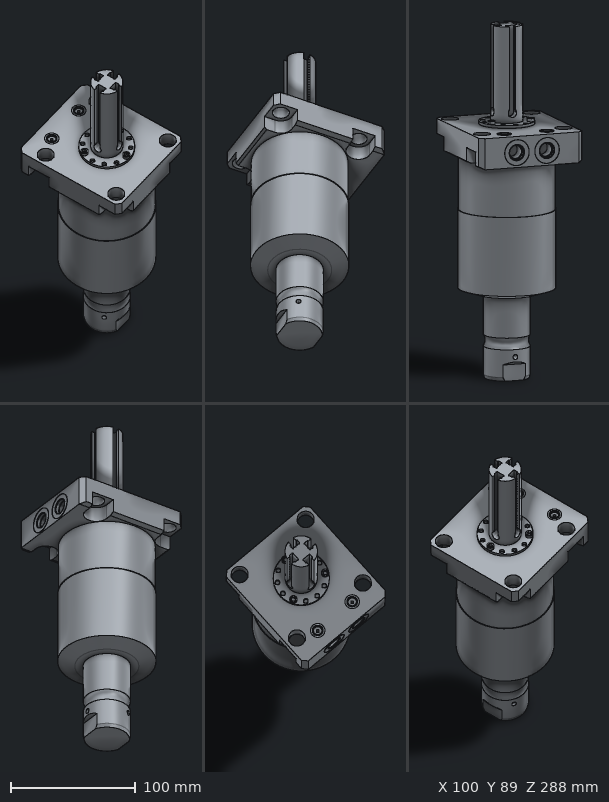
import cadquery as cq
import math

TOTAL_HEIGHT = 288.0
FLANGE_TOP = 209.3
PLATE_TOP = 207.0
PLATE_BOTTOM = 181.7
BODY_STEP = 137.5
BODY_BOTTOM = 73.5
CONE_BOTTOM = 69.0
GROOVE_TOP = 35.5
GROOVE_BOTTOM = 26.0

SHAFT_RADIUS = 13.0
FLANGE_RADIUS = 22.5
UPPER_BODY_RADIUS = 39.0
LOWER_BODY_RADIUS = 39.5
CONE_BOTTOM_RADIUS = 25.5
NOSE_RADIUS = 19.0
GROOVE_DEPTH = 1.5
TIP_CHAMFER_HEIGHT = 3.2
TIP_CHAMFER_WIDTH = 1.0

PLATE_LENGTH = 100.0
PLATE_WIDTH = 89.0
PLATE_RIGHT = PLATE_WIDTH / 2
PLATE_LEFT = PLATE_RIGHT - PLATE_LENGTH
PLATE_CORNER_CHAMFER = 4.0
PLATE_THICKNESS = PLATE_TOP - PLATE_BOTTOM
BEVEL_HEIGHT = 1.7
SIDE_BEVEL_WIDTH = 4.0
END_BEVEL_WIDTH = 2.0
BOLT_SPACING = 70.0
BOLT_OFFSET = BOLT_SPACING / 2
BOLT_HOLE_DIAMETER = 13.5
POCKET_RADIUS = 10.0
POCKET_HEIGHT = 13.0

SIDE_PORT_OFFSET = 13.0
SIDE_SPOTFACE_DIAMETER = 21.0
SIDE_SPOTFACE_DEPTH = 0.3
SIDE_PORT_HEIGHT = 193.7
SIDE_MOUTH_DIAMETER = 13.2
SIDE_BORE_DIAMETER = 12.0
SIDE_BORE_DEPTH = 3.5
SIDE_INNER_DIAMETER = 10.5
SIDE_INNER_DEPTH = 13.0

TOP_PORT_X = -41.2
TOP_PORT_SPACING = 36.5
TOP_PORT_DIAMETER = 11.5
TOP_GROOVE_DEPTH = 0.43
TOP_LIP_DIAMETER = 8.5
TOP_SEAT_DIAMETER = 7.0
TOP_SEAT_DEPTH = 1.5
TOP_BORE_DIAMETER = 2.3
TOP_BORE_DEPTH = 8.5

KEYWAY_COUNT = 4
KEYWAY_MOUTH_WIDTH = 5.5
KEYWAY_INNER_WIDTH = 7.2
KEYWAY_FLOOR = 6.0
KEYWAY_STEP = 9.5
KEYWAY_END = 217.5

FLANGE_POSITIONS = 12
SCREW_SPACING = 4
FLANGE_CIRCLE_DIAMETER = 39.0
FLANGE_CIRCLE_RADIUS = FLANGE_CIRCLE_DIAMETER / 2
FLANGE_HOLE_DIAMETER = 3.7
SCREW_HEAD_DIAMETER = 5.8
SCREW_HEAD_HEIGHT = 2.5
SCREW_SOCKET_SIDES = 6
SCREW_SOCKET_DIAMETER = 3.7
SCREW_SOCKET_DEPTH = 2.3

FLAT_OFFSET = 16.5
FLAT_TOP = 13.5
FLAT_SHOULDER_TOP = 15.8
NOSE_HOLE_COUNT = 3
NOSE_HOLE_HEIGHT = 20.0
NOSE_HOLE_DIAMETER = 4.0
NOSE_HOLE_DEPTH = 3.0


def make_turned_body():
    """Shaft, flange, body and grooved nose as one revolved profile."""
    groove_middle = (NOSE_RADIUS - GROOVE_DEPTH, (GROOVE_TOP + GROOVE_BOTTOM) / 2)
    return (
        cq.Workplane("XZ")
        .moveTo(0, 0)
        .lineTo(NOSE_RADIUS - TIP_CHAMFER_WIDTH, 0)
        .lineTo(NOSE_RADIUS, TIP_CHAMFER_HEIGHT)
        .lineTo(NOSE_RADIUS, GROOVE_BOTTOM)
        .threePointArc(groove_middle, (NOSE_RADIUS, GROOVE_TOP))
        .lineTo(NOSE_RADIUS, CONE_BOTTOM)
        .lineTo(CONE_BOTTOM_RADIUS, CONE_BOTTOM)
        .lineTo(LOWER_BODY_RADIUS, BODY_BOTTOM)
        .lineTo(LOWER_BODY_RADIUS, BODY_STEP)
        .lineTo(UPPER_BODY_RADIUS, BODY_STEP)
        .lineTo(UPPER_BODY_RADIUS, PLATE_TOP)
        .lineTo(FLANGE_RADIUS, PLATE_TOP)
        .lineTo(FLANGE_RADIUS, FLANGE_TOP)
        .lineTo(SHAFT_RADIUS, FLANGE_TOP)
        .lineTo(SHAFT_RADIUS, TOTAL_HEIGHT)
        .lineTo(0, TOTAL_HEIGHT)
        .close()
        .revolve(360, (0, 0), (0, 1))
    )


def make_bevel(reach, width, angle):
    """Cutter for the bevel under the plate edge that lies at this reach from the axis."""
    return (
        cq.Workplane("XZ")
        .moveTo(reach - width, PLATE_BOTTOM)
        .lineTo(reach, PLATE_BOTTOM)
        .lineTo(reach, PLATE_BOTTOM + BEVEL_HEIGHT)
        .close()
        .extrude(PLATE_LENGTH, both=True)
        .rotate((0, 0, 0), (0, 0, 1), angle)
    )


def make_corner_pocket(x_side, y_side):
    """Bolt-head pocket under the plate, open to the Y side and, at +X, to the X side too."""
    x = x_side * BOLT_OFFSET
    y = y_side * BOLT_OFFSET
    base = cq.Workplane("XY").workplane(offset=PLATE_BOTTOM)
    pocket = base.center(x, y).circle(POCKET_RADIUS).extrude(POCKET_HEIGHT)
    width = 2 * POCKET_RADIUS
    outer_x = x + x_side * POCKET_RADIUS
    outer_y = y + y_side * POCKET_RADIUS
    pocket = pocket.union(base.center(x, outer_y).rect(width, width).extrude(POCKET_HEIGHT))
    if x_side > 0:
        pocket = pocket.union(base.center(outer_x, y).rect(width, width).extrude(POCKET_HEIGHT))
        pocket = pocket.union(base.center(outer_x, outer_y).rect(width, width).extrude(POCKET_HEIGHT))
    return pocket


def make_plate():
    """Mounting plate with cut corners, bevelled lower edges, bolt holes and pockets."""
    plate = (
        cq.Workplane("XY")
        .workplane(offset=PLATE_BOTTOM)
        .center((PLATE_LEFT + PLATE_RIGHT) / 2, 0)
        .rect(PLATE_LENGTH, PLATE_WIDTH)
        .extrude(PLATE_THICKNESS)
        .edges("|Z")
        .chamfer(PLATE_CORNER_CHAMFER)
    )
    bolt_holes = [(x * BOLT_OFFSET, y * BOLT_OFFSET) for x in (-1, 1) for y in (-1, 1)]
    plate = plate.cut(
        cq.Workplane("XY")
        .workplane(offset=PLATE_BOTTOM)
        .pushPoints(bolt_holes)
        .circle(BOLT_HOLE_DIAMETER / 2)
        .extrude(PLATE_THICKNESS)
    )
    for x_side in (-1, 1):
        for y_side in (-1, 1):
            plate = plate.cut(make_corner_pocket(x_side, y_side))
    plate = plate.cut(make_bevel(PLATE_RIGHT, END_BEVEL_WIDTH, 0))
    for angle in (-90, 90):
        plate = plate.cut(make_bevel(PLATE_WIDTH / 2, SIDE_BEVEL_WIDTH, angle))
    return plate


def make_side_port(y):
    """Cutter for a port drilled inward from the -X face."""
    spot_floor = SIDE_SPOTFACE_DEPTH
    bore_start = spot_floor + (SIDE_MOUTH_DIAMETER - SIDE_BORE_DIAMETER) / 2
    return (
        cq.Workplane("XY")
        .moveTo(0, 0)
        .lineTo(0, SIDE_SPOTFACE_DIAMETER / 2)
        .lineTo(spot_floor, SIDE_SPOTFACE_DIAMETER / 2)
        .lineTo(spot_floor, SIDE_MOUTH_DIAMETER / 2)
        .lineTo(bore_start, SIDE_BORE_DIAMETER / 2)
        .lineTo(SIDE_BORE_DEPTH, SIDE_BORE_DIAMETER / 2)
        .lineTo(SIDE_BORE_DEPTH, SIDE_INNER_DIAMETER / 2)
        .lineTo(SIDE_INNER_DEPTH, SIDE_INNER_DIAMETER / 2)
        .lineTo(SIDE_INNER_DEPTH, 0)
        .close()
        .revolve(360, (0, 0), (1, 0))
        .translate((PLATE_LEFT, y, SIDE_PORT_HEIGHT))
    )


def make_top_port(y):
    """Cutter for a stepped top port with a shallow round groove about its lip."""
    groove_middle = ((TOP_PORT_DIAMETER + TOP_LIP_DIAMETER) / 4, -TOP_GROOVE_DEPTH)
    return (
        cq.Workplane("XZ")
        .moveTo(0, 0)
        .lineTo(TOP_PORT_DIAMETER / 2, 0)
        .threePointArc(groove_middle, (TOP_LIP_DIAMETER / 2, 0))
        .lineTo(TOP_SEAT_DIAMETER / 2, 0)
        .lineTo(TOP_SEAT_DIAMETER / 2, -TOP_SEAT_DEPTH)
        .lineTo(TOP_BORE_DIAMETER / 2, -TOP_SEAT_DEPTH)
        .lineTo(TOP_BORE_DIAMETER / 2, -TOP_BORE_DEPTH)
        .lineTo(0, -TOP_BORE_DEPTH)
        .close()
        .revolve(360, (0, 0), (0, 1))
        .translate((TOP_PORT_X, y, PLATE_TOP))
    )


def make_keyway(angle):
    """Cutter for one keyway: narrow mouth, wider inner channel and a round lower end."""
    length = TOTAL_HEIGHT - KEYWAY_END
    channel_depth = KEYWAY_STEP - KEYWAY_FLOOR
    full_depth = SHAFT_RADIUS - KEYWAY_FLOOR
    inner_face_centered = (False, True, False)
    channel = cq.Workplane("XY").box(channel_depth, KEYWAY_INNER_WIDTH, length, centered=inner_face_centered)
    mouth = cq.Workplane("XY").box(full_depth, KEYWAY_MOUTH_WIDTH, length, centered=inner_face_centered)
    round_end = cq.Workplane("YZ").circle(KEYWAY_INNER_WIDTH / 2).extrude(full_depth)
    keyway = channel.union(mouth).union(round_end).translate((KEYWAY_FLOOR, 0, KEYWAY_END))
    return keyway.rotate((0, 0, 0), (0, 0, 1), angle)


def add_flange_details(body):
    """Screw heads and open holes around the flange."""
    for index in range(FLANGE_POSITIONS):
        angle = 2 * math.pi * index / FLANGE_POSITIONS
        x = FLANGE_CIRCLE_RADIUS * math.cos(angle)
        y = FLANGE_CIRCLE_RADIUS * math.sin(angle)
        spot = cq.Workplane("XY").workplane(offset=FLANGE_TOP).center(x, y)
        if index % SCREW_SPACING == 0:
            head = spot.circle(SCREW_HEAD_DIAMETER / 2).extrude(SCREW_HEAD_HEIGHT)
            socket = (
                spot.workplane(offset=SCREW_HEAD_HEIGHT)
                .polygon(SCREW_SOCKET_SIDES, SCREW_SOCKET_DIAMETER)
                .extrude(-SCREW_SOCKET_DEPTH)
            )
            body = body.union(head).cut(socket)
        else:
            hole = spot.circle(FLANGE_HOLE_DIAMETER / 2).extrude(PLATE_TOP - FLANGE_TOP)
            body = body.cut(hole)
    return body


def make_nose_flat(side):
    """Cutter for a wrench flat whose upper shoulder slopes outward."""
    return (
        cq.Workplane("XZ")
        .moveTo(side * FLAT_OFFSET, 0)
        .lineTo(side * FLAT_OFFSET, FLAT_TOP)
        .lineTo(side * NOSE_RADIUS, FLAT_SHOULDER_TOP)
        .lineTo(side * NOSE_RADIUS, 0)
        .close()
        .extrude(NOSE_RADIUS, both=True)
    )


def make_nose_hole(angle):
    """Cutter for a conical dimple drilled radially into the nose."""
    return (
        cq.Workplane("XY")
        .moveTo(NOSE_RADIUS - NOSE_HOLE_DEPTH, 0)
        .lineTo(NOSE_RADIUS, NOSE_HOLE_DIAMETER / 2)
        .lineTo(NOSE_RADIUS, 0)
        .close()
        .revolve(360, (0, 0), (1, 0))
        .translate((0, 0, NOSE_HOLE_HEIGHT))
        .rotate((0, 0, 0), (0, 0, 1), angle)
    )


result = make_turned_body().union(make_plate())
for side in (-1, 1):
    result = result.cut(make_side_port(side * SIDE_PORT_OFFSET))
    result = result.cut(make_top_port(side * TOP_PORT_SPACING / 2))
    result = result.cut(make_nose_flat(side))
for index in range(KEYWAY_COUNT):
    result = result.cut(make_keyway(index * 360 / KEYWAY_COUNT))
for index in range(NOSE_HOLE_COUNT):
    result = result.cut(make_nose_hole(180 + index * 360 / NOSE_HOLE_COUNT))
result = add_flange_details(result)